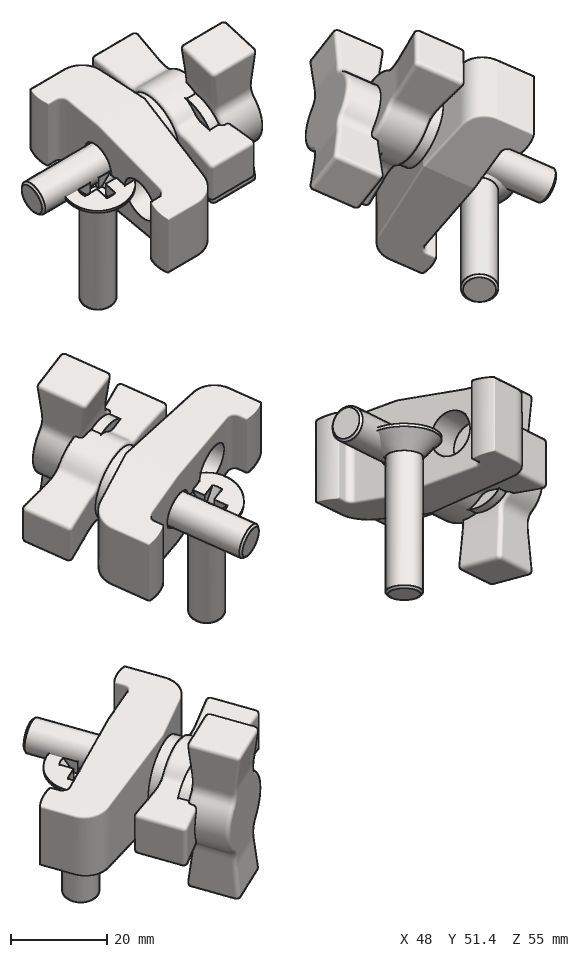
import cadquery as cq
import math


bar_left = 18.05
bar_right = 28.0
bar_height = 12.5
bar_half_width = 10.7
roof_slope = math.radians(6.8)
side_taper = math.radians(5)
shoulder_radius = 5.8
hook_width = 6.0
hook_drop = 3.65
hook_tip_bulge = 0.5
hook_tip_radius = 0.15
hook_root_radius = 1.6
bar_edge_radius = 0.5
screw_bore_diameter = 8.6
pocket_diameter = 10.0
pocket_x = 13.95
pocket_depth = 8.0

screw_length = 35.0
shank_diameter = 7.8
head_diameter = 15.5
head_rim = 0.65
head_cone = (head_diameter - shank_diameter) / 2
shank_chamfer = 0.5
recess_width = 2.25
recess_top_radius = 4.5
recess_floor_radius = 2.2
recess_depth = 3.3

handle_length = 40.05
wing_tip_width = 11.0
wing_root_width = 9.55
wing_tip_depth = 12.0
wing_sweep_radius = 11.0
hub_depth = 10.0
hub_diameter = 17.9
hub_flat_reach = 10.45
hub_blend_radius = 3.3
collar_diameter = 16.5
collar_height = 2.5
handle_edge_radius = 0.95

handle_base_y = bar_height
second_axis_x = 5.0
top_handle_rise = 8.0
clamp_screw_head_y = 17.45
loose_screw_y = -4.0

CLEAR = 0.55


def bar_side_profile():
    """Outline of the bar in X and Y: two hooks below, a low roof above."""
    left_eave = bar_height - bar_left * math.tan(roof_slope)
    right_eave = bar_height - bar_right * math.tan(roof_slope)
    left_hook = hook_width - bar_left
    right_hook = bar_right - hook_width
    tip_y = -hook_drop - hook_tip_bulge
    return (
        cq.Workplane("XY")
        .moveTo(0, bar_height)
        .lineTo(bar_right, right_eave)
        .lineTo(bar_right, -hook_drop)
        .threePointArc((bar_right - hook_width / 2, tip_y), (right_hook, -hook_drop))
        .lineTo(right_hook, 0)
        .lineTo(left_hook, 0)
        .lineTo(left_hook, -hook_drop)
        .threePointArc((hook_width / 2 - bar_left, tip_y), (-bar_left, -hook_drop))
        .lineTo(-bar_left, left_eave)
        .close()
        .extrude(bar_half_width, both=True)
    )


def bar_plan():
    """Outline of the bar in X and Z: widest at the ridge, tapering to both ends."""
    left_half = bar_half_width - bar_left * math.tan(side_taper)
    right_half = bar_half_width - bar_right * math.tan(side_taper)
    return (
        cq.Workplane("XZ")
        .polyline([
            (0, bar_half_width), (bar_right, right_half), (bar_right, -right_half),
            (0, -bar_half_width), (-bar_left, -left_half), (-bar_left, left_half),
        ])
        .close()
        .extrude(2 * bar_height, both=True)
    )


def y_cylinder(diameter, x, y_start, y_end):
    """Cylinder along +Y from y_start to y_end."""
    return (
        cq.Workplane("XZ", origin=(x, y_start, 0))
        .circle(diameter / 2)
        .extrude(y_start - y_end)
    )


def make_bar():
    """Clamp bar with rounded shoulders, hook roots and rims, a screw bore and a blind pocket."""
    shoulders = cq.selectors.BoxSelector(
        (-bar_left - CLEAR, bar_height / 2, -CLEAR),
        (bar_right + CLEAR, bar_height - CLEAR, CLEAR),
    )
    hook_roots = cq.selectors.BoxSelector(
        (hook_width - bar_left - CLEAR, -CLEAR, -CLEAR),
        (bar_right - hook_width + CLEAR, CLEAR, CLEAR),
    )
    side_ridges = cq.selectors.BoxSelector(
        (-CLEAR, CLEAR, -2 * bar_half_width),
        (CLEAR, bar_height - CLEAR, 2 * bar_half_width),
    )
    hook_tips = cq.selectors.BoxSelector(
        (-bar_left - CLEAR, -hook_drop - CLEAR, -bar_half_width),
        (bar_right + CLEAR, CLEAR - hook_drop, bar_half_width),
    )
    bar = bar_side_profile()
    bar = bar.edges("|Z").edges(shoulders).fillet(shoulder_radius)
    bar = bar.edges("|Z").edges(hook_roots).fillet(hook_root_radius)
    bar = bar.intersect(bar_plan())
    rims = bar.edges("not |Z").edges(cq.selectors.InverseSelector(side_ridges + hook_tips))
    bar = rims.fillet(bar_edge_radius)
    bar = bar.edges("|Z").edges(hook_tips).fillet(hook_tip_radius)
    bar = bar.cut(y_cylinder(screw_bore_diameter, 0, -CLEAR, bar_height + CLEAR))
    return bar.cut(y_cylinder(pocket_diameter, pocket_x, 0, pocket_depth))


def make_screw():
    """Countersunk screw pointing along -Z with its head's top face at Z = 0."""
    shank_radius = shank_diameter / 2
    head_radius = head_diameter / 2
    screw = (
        cq.Workplane("XZ")
        .polyline([
            (0, 0), (head_radius, 0), (head_radius, -head_rim),
            (shank_radius, -head_rim - head_cone),
            (shank_radius, shank_chamfer - screw_length),
            (shank_radius - shank_chamfer, -screw_length), (0, -screw_length),
        ])
        .close()
        .revolve(360, (0, 0), (0, 1))
    )
    return screw.cut(cross_recess())


def cross_recess():
    """Cross-shaped driver recess with sloping arm ends."""
    arm = 2 * recess_top_radius
    cross = (
        cq.Workplane("XY")
        .rect(arm, recess_width)
        .extrude(-recess_depth)
        .union(cq.Workplane("XY").rect(recess_width, arm).extrude(-recess_depth))
    )
    cone = cq.Solid.makeCone(
        recess_top_radius, recess_floor_radius, recess_depth, dir=cq.Vector(0, 0, -1))
    return cross.intersect(cq.Workplane(cone))


def handle_outline():
    """Handle seen along its axis: a round hub with two wings, narrowest at the hub, blended in."""
    half_length = handle_length / 2
    hub_radius = hub_diameter / 2
    wings = (
        cq.Workplane("XZ")
        .polyline([
            (-half_length, -wing_tip_width / 2), (0, -wing_root_width / 2),
            (half_length, -wing_tip_width / 2), (half_length, wing_tip_width / 2),
            (0, wing_root_width / 2), (-half_length, wing_tip_width / 2),
        ])
        .close()
        .extrude(wing_tip_depth, both=True)
    )
    hub = cq.Workplane("XZ").circle(hub_radius).extrude(wing_tip_depth, both=True)
    hub_corners = cq.selectors.BoxSelector(
        (-hub_radius, -CLEAR, -hub_radius),
        (hub_radius, CLEAR, hub_radius),
    )
    return wings.union(hub).edges("|Y").edges(hub_corners).fillet(hub_blend_radius)


def handle_depth():
    """Handle in X and Y: flat over the hub, growing deeper towards the wing tips."""
    half_length = handle_length / 2
    tip = wing_tip_depth / 2
    middle = hub_depth / 2
    wing_starts = cq.selectors.BoxSelector(
        (-hub_flat_reach - CLEAR, -tip, -CLEAR),
        (hub_flat_reach + CLEAR, tip, CLEAR),
    )
    return (
        cq.Workplane("XY")
        .polyline([
            (-half_length, -tip), (-hub_flat_reach, -middle),
            (hub_flat_reach, -middle), (half_length, -tip),
            (half_length, tip), (hub_flat_reach, middle),
            (-hub_flat_reach, middle), (-half_length, tip),
        ])
        .close()
        .extrude(hub_diameter, both=True)
        .edges("|Z")
        .edges(wing_starts)
        .fillet(wing_sweep_radius)
    )


def make_handle():
    """Handle with its axis along Y, wings along X and the foot of its collar at Y = 0."""
    hub_center_y = collar_height + hub_depth / 2
    grip = handle_outline().intersect(handle_depth()).edges().fillet(handle_edge_radius)
    collar = y_cylinder(collar_diameter, 0, 0, hub_center_y)
    return grip.translate((0, hub_center_y, 0)).union(collar)


screw = make_screw()
clamp_screw = screw.rotate((0, 0, 0), (1, 0, 0), -90).translate((0, clamp_screw_head_y, 0))
bar = make_bar()
loose_screw = screw.translate((second_axis_x, loose_screw_y, 0)).cut(bar).cut(clamp_screw)

handle = make_handle()
top_handle = (
    handle
    .rotate((0, 0, 0), (0, 1, 0), 90)
    .translate((second_axis_x, handle_base_y + top_handle_rise, 0))
)
clamp_handle = handle.translate((0, handle_base_y, 0)).cut(clamp_screw).cut(top_handle)

bodies = [bar, clamp_screw, loose_screw, clamp_handle, top_handle]
result = cq.Compound.makeCompound([body.solids().val() for body in bodies])